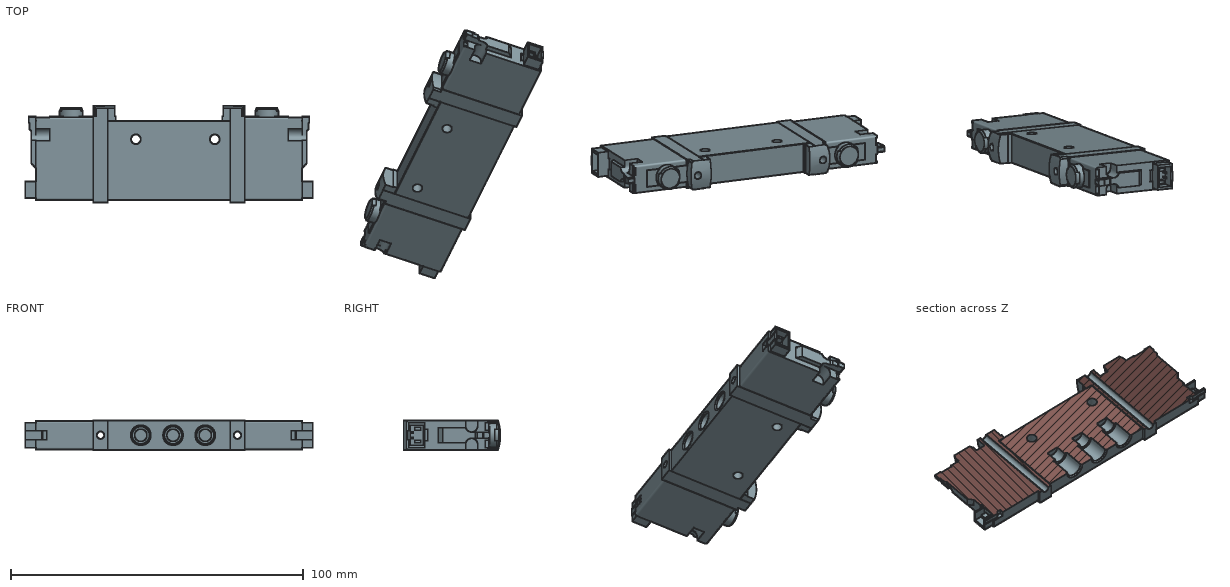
import cadquery as cq

LENGTH = 98.3
DEPTH = 33.1
HEIGHT = 10.2
EPS = 0.1

HALF_LENGTH = LENGTH / 2
FRONT_Y = -DEPTH / 2
BACK_Y = DEPTH / 2
HALF_HEIGHT = HEIGHT / 2

VALVE_HALF_LENGTH = 20.8
VALVE_FRONT_Y = FRONT_Y + 0.9
VALVE_BACK_Y = 11.5
VALVE_BACK_CHAMFER = 0.2

PORT_CENTRE_X = 1.4
PORT_PITCH = 11.0
PORT_DIAMETER = 5.9
PORT_DEPTH = 7.9
PORT_MOUTH_CHAMFER = 0.5
PORT_BORE_DIAMETER = 4.2
PORT_BORE_DEPTH = 11.8

MOUNT_HOLE_DIAMETER = 3.2
MOUNT_HOLE_CENTRE_X = 2.2
MOUNT_HOLE_SPACING = 26.9
MOUNT_HOLE_Y = 5.1

FLANGE_OUTER_X = -26.0
FLANGE_HOLE_DIAMETER = 2.5
CROWN_SAGITTA = 0.9
LUG_LENGTH = 2.4
LUG_HALF_HEIGHT = 5.0
LUG_FOOT_LENGTH = 2.7
LUG_FOOT_BACK_Y = 13.0
BUTTON_X = -33.4
BUTTON_DIAMETER = 8.1
BUTTON_BACK_Y = 15.9
BUTTON_ROOT = 1.0
BUTTON_CHAMFER = 0.6
BUTTON_BEVEL_WIDTH = 3.9
BUTTON_BEVEL_START_Y = 14.6
LIP_FRONT_Y = 13.0
LIP_SHOULDER_X = -25.4
LIP_BEVEL = 0.6

COIL_HALF_HEIGHT = 4.9
COIL_FRONT_Y = VALVE_FRONT_Y
COIL_BACK_Y = 12.6
COIL_EDGE_RADIUS = 0.7
CAP_INNER_X = -40.8
CAP_OUTER_X = -45.5
PAD_BACK_Y = 13.0
PAD_HALF_HEIGHT = 2.9

PLATE_OUTER_X = -47.1
PLATE_HALF_HEIGHT = 2.6
PLATE_FRONT_Y = -4.7
PLATE_BEVEL = CAP_OUTER_X - PLATE_OUTER_X
LEVER_HALF_HEIGHT = 1.1
LEVER_BACK_Y = 13.0
LEVER_BACK_CHAMFER = 0.4
LEVER_TIP_X = -48.0
LEVER_TIP_FRONT_Y = 10.8
LEVER_STEM_X = -47.7
LEVER_STEM_BACK_Y = 10.5
LEVER_STEM_FRONT_Y = 8.6
LEVER_ROOT_Y = 7.9

GROOVE_Y = 6.7
GROOVE_DIAMETER = 4.1

NOTCH_FRONT_Y = 11.4
NOTCH_INNER_Z = 1.7
NOTCH_OUTER_Z = 4.2
NOTCH_DEPTH = 0.6

CONNECTOR_FRONT_Y = -14.8
CONNECTOR_BACK_Y = -9.2
CONNECTOR_HALF_HEIGHT = 4.3
CONNECTOR_WALL_Y = 0.6
CONNECTOR_WALL_Z = 0.9
SOCKET_FLOOR_X = -45.2
RELIEF_BACK_Y = -8.3
RELIEF_HALF_HEIGHT = 2.0
RELIEF_DEPTH = 0.5

LATCH_HALF_HEIGHT = 1.6
LATCH_FRONT_Y = -15.0
LATCH_END_X = -43.5
LATCH_NOSE = 0.5
LATCH_SLOT_END_X = -41.8
LATCH_SLOT_FLOOR_Y = -14.3

CONTACT_Y = -11.7
CONTACT_Z = 2.2
CONTACT_WIDTH = 2.1
CONTACT_THICKNESS = 1.0
PIN_Y = -13.6
PIN_Z = 0.9
PIN_SIZE = 0.5
CONTACT_OUTER_X = -47.2


def block(x_min, x_max, y_min, y_max, z_min, z_max):
    """Axis-aligned box between two opposite corners."""
    box = cq.Workplane().box(x_max - x_min, y_max - y_min, z_max - z_min, centered=False)
    return box.translate((x_min, y_min, z_min))


def slab(x_min, x_max, y_min, y_max, half_height):
    """Box that is symmetric about the Z = 0 plane."""
    return block(x_min, x_max, y_min, y_max, -half_height, half_height)


def y_cylinder(x, y_start, diameter, length):
    """Cylinder at Z = 0 that runs from y_start toward +Y."""
    plane = cq.Workplane("XZ", origin=(x, y_start, 0))
    return plane.circle(diameter / 2).extrude(-length)


def y_cone(x, y_start, start_diameter, end_diameter, length):
    """Truncated cone at Z = 0 that runs from y_start toward +Y."""
    base = cq.Workplane("XZ", origin=(x, y_start, 0)).circle(start_diameter / 2)
    return base.workplane(offset=-length).circle(end_diameter / 2).loft()


def crowned_bar(x_min, x_max, y_min):
    """Full-height bar along Y with a shallow arc as its back end."""
    profile = (
        cq.Workplane("YZ", origin=(x_min, 0, 0))
        .moveTo(y_min, -HALF_HEIGHT)
        .lineTo(BACK_Y - CROWN_SAGITTA, -HALF_HEIGHT)
        .threePointArc((BACK_Y, 0), (BACK_Y - CROWN_SAGITTA, HALF_HEIGHT))
        .lineTo(y_min, HALF_HEIGHT)
        .close()
    )
    return profile.extrude(x_max - x_min)


def port(x):
    """Stepped port with a chamfered mouth, opening on the front face."""
    bore = y_cylinder(x, VALVE_FRONT_Y, PORT_BORE_DIAMETER, PORT_BORE_DEPTH)
    socket = y_cylinder(x, VALVE_FRONT_Y, PORT_DIAMETER, PORT_DEPTH)
    mouth_diameter = PORT_DIAMETER + 2 * PORT_MOUTH_CHAMFER
    mouth = y_cone(x, VALVE_FRONT_Y, mouth_diameter, PORT_DIAMETER, PORT_MOUTH_CHAMFER)
    return bore.union(socket).union(mouth)


def make_valve_body():
    body = slab(-VALVE_HALF_LENGTH, VALVE_HALF_LENGTH, VALVE_FRONT_Y, VALVE_BACK_Y, HALF_HEIGHT)
    body = body.faces(">Y").edges("|X").chamfer(VALVE_BACK_CHAMFER)
    for index in (-1, 0, 1):
        body = body.cut(port(PORT_CENTRE_X + index * PORT_PITCH))
    for side in (-1, 1):
        hole_x = MOUNT_HOLE_CENTRE_X + side * MOUNT_HOLE_SPACING / 2
        hole = cq.Workplane(origin=(hole_x, MOUNT_HOLE_Y, 0)).circle(MOUNT_HOLE_DIAMETER / 2)
        body = body.cut(hole.extrude(HEIGHT, both=True))
    return body


def lip_relief():
    """Cutter that leaves a rounded, bevelled lip on the outer side of the flange."""
    shoulder_z = HALF_HEIGHT - LIP_BEVEL
    bevel_x = LIP_SHOULDER_X + LIP_BEVEL
    kept = (
        cq.Workplane("XZ", origin=(0, LIP_FRONT_Y, 0))
        .moveTo(bevel_x, -HALF_HEIGHT)
        .lineTo(LIP_SHOULDER_X, -shoulder_z)
        .threePointArc((FLANGE_OUTER_X, 0), (LIP_SHOULDER_X, shoulder_z))
        .lineTo(bevel_x, HALF_HEIGHT)
        .close()
        .extrude(LIP_FRONT_Y - BACK_Y)
    )
    return slab(FLANGE_OUTER_X, bevel_x, LIP_FRONT_Y, BACK_Y, HALF_HEIGHT).cut(kept)


def flange():
    """End flange with a shaped lip and a through hole."""
    bar = crowned_bar(FLANGE_OUTER_X, -VALVE_HALF_LENGTH, FRONT_Y)
    hole_x = (FLANGE_OUTER_X - VALVE_HALF_LENGTH) / 2
    hole = y_cylinder(hole_x, FRONT_Y - EPS, FLANGE_HOLE_DIAMETER, DEPTH + 2 * EPS)
    return bar.cut(lip_relief()).cut(hole)


def lug():
    """Lug on the flange that rests on the back of the valve body, with a wider foot."""
    start_x = -VALVE_HALF_LENGTH
    tab = crowned_bar(start_x, start_x + LUG_LENGTH, VALVE_BACK_Y)
    envelope = slab(start_x, start_x + LUG_LENGTH, VALVE_BACK_Y, BACK_Y, LUG_HALF_HEIGHT)
    foot = slab(start_x, start_x + LUG_FOOT_LENGTH, VALVE_BACK_Y, LUG_FOOT_BACK_Y, LUG_HALF_HEIGHT)
    return tab.intersect(envelope).union(foot)


def rounded_housing(x_min, x_max):
    """Length of housing with its four long edges rounded."""
    housing = slab(x_min, x_max, COIL_FRONT_Y, COIL_BACK_Y, COIL_HALF_HEIGHT)
    return housing.edges("|X").fillet(COIL_EDGE_RADIUS)


def button():
    """Round manual button, chamfered all round and bevelled further down on its X sides."""
    knob_start = COIL_BACK_Y - BUTTON_ROOT
    knob = y_cylinder(BUTTON_X, knob_start, BUTTON_DIAMETER, BUTTON_BACK_Y - knob_start)
    knob = knob.faces(">Y").chamfer(BUTTON_CHAMFER)
    cone = y_cone(
        BUTTON_X,
        BUTTON_BEVEL_START_Y,
        BUTTON_DIAMETER,
        BUTTON_DIAMETER - 2 * BUTTON_CHAMFER,
        BUTTON_BACK_Y - BUTTON_BEVEL_START_Y,
    )
    bevel = slab(
        BUTTON_X - BUTTON_DIAMETER,
        BUTTON_X + BUTTON_DIAMETER,
        BUTTON_BEVEL_START_Y,
        BUTTON_BACK_Y,
        BUTTON_BEVEL_WIDTH / 2,
    )
    return knob.cut(bevel.cut(cone))


def cover_plate():
    """Bevelled plate that narrows into the latch lever toward the back."""
    outline = [
        (CAP_OUTER_X, LEVER_BACK_Y),
        (LEVER_TIP_X, LEVER_BACK_Y),
        (LEVER_TIP_X, LEVER_TIP_FRONT_Y),
        (LEVER_STEM_X, LEVER_STEM_BACK_Y),
        (LEVER_STEM_X, LEVER_STEM_FRONT_Y),
        (PLATE_OUTER_X, LEVER_ROOT_Y),
        (PLATE_OUTER_X, PLATE_FRONT_Y + PLATE_BEVEL),
        (CAP_OUTER_X, PLATE_FRONT_Y),
    ]
    plate = cq.Workplane().polyline(outline).close().extrude(PLATE_HALF_HEIGHT, both=True)
    lever_side = block(LEVER_TIP_X, CAP_OUTER_X, GROOVE_Y, BACK_Y, LEVER_HALF_HEIGHT, HALF_HEIGHT)
    plate = plate.cut(lever_side).cut(lever_side.mirror("XY"))
    return plate.faces(">Y").edges("|X").chamfer(LEVER_BACK_CHAMFER)


def cap_groove():
    """Round-bottomed groove cutter in the top of the cap and cover plate."""
    radius = GROOVE_DIAMETER / 2
    centre_z = LEVER_HALF_HEIGHT + radius
    profile = (
        cq.Workplane("YZ", origin=(LEVER_TIP_X, 0, 0))
        .moveTo(GROOVE_Y - radius, HALF_HEIGHT)
        .lineTo(GROOVE_Y - radius, centre_z)
        .threePointArc((GROOVE_Y, LEVER_HALF_HEIGHT), (GROOVE_Y + radius, centre_z))
        .lineTo(GROOVE_Y + radius, HALF_HEIGHT)
        .close()
    )
    return profile.extrude(CAP_INNER_X - LEVER_TIP_X)


def cap():
    """End cap with its cover plate, grooves, corner notches and reliefs."""
    end = rounded_housing(CAP_OUTER_X, CAP_INNER_X).union(cover_plate())
    groove = cap_groove()
    notch = block(
        CAP_OUTER_X, CAP_OUTER_X + NOTCH_DEPTH, NOTCH_FRONT_Y, BACK_Y, NOTCH_INNER_Z, NOTCH_OUTER_Z
    )
    for cutter in (groove, notch):
        end = end.cut(cutter).cut(cutter.mirror("XY"))
    relief = slab(
        CAP_OUTER_X, CAP_OUTER_X + RELIEF_DEPTH, CONNECTOR_BACK_Y, RELIEF_BACK_Y, RELIEF_HALF_HEIGHT
    )
    latch_slot = slab(
        CAP_OUTER_X, LATCH_SLOT_END_X, COIL_FRONT_Y - EPS, LATCH_SLOT_FLOOR_Y, LATCH_HALF_HEIGHT
    )
    return end.cut(relief).cut(latch_slot)


def connector():
    """Connector block with a latch on its front, before the socket is cut."""
    shell = slab(-HALF_LENGTH, CAP_OUTER_X, CONNECTOR_FRONT_Y, CONNECTOR_BACK_Y, CONNECTOR_HALF_HEIGHT)
    latch_outline = [
        (-HALF_LENGTH, CONNECTOR_FRONT_Y + CONNECTOR_WALL_Y),
        (-HALF_LENGTH, LATCH_FRONT_Y),
        (LATCH_END_X, LATCH_FRONT_Y),
        (LATCH_END_X + LATCH_NOSE, LATCH_SLOT_FLOOR_Y),
        (CAP_OUTER_X, LATCH_SLOT_FLOOR_Y),
    ]
    latch = cq.Workplane().polyline(latch_outline).close().extrude(LATCH_HALF_HEIGHT, both=True)
    return shell.union(latch)


def socket():
    """Cavity of the connector."""
    return slab(
        -HALF_LENGTH,
        SOCKET_FLOOR_X,
        CONNECTOR_FRONT_Y + CONNECTOR_WALL_Y,
        CONNECTOR_BACK_Y - CONNECTOR_WALL_Y,
        CONNECTOR_HALF_HEIGHT - CONNECTOR_WALL_Z,
    )


def post(y, z, width, thickness):
    """Rectangular contact that stands on the floor of the socket."""
    length = SOCKET_FLOOR_X - CONTACT_OUTER_X + EPS
    base = cq.Workplane("YZ", origin=(CONTACT_OUTER_X, y, z))
    return base.rect(width, thickness).extrude(length)


def make_pilot():
    """Pilot unit for the -X end."""
    coil = rounded_housing(CAP_INNER_X, FLANGE_OUTER_X)
    pad = slab(CAP_INNER_X, FLANGE_OUTER_X, COIL_BACK_Y - EPS, PAD_BACK_Y, PAD_HALF_HEIGHT)
    unit = flange().union(lug()).union(coil.union(pad)).union(button())
    unit = unit.union(cap(), clean=False)
    unit = unit.union(connector(), clean=False).cut(socket(), clean=False)
    for side in (-1, 1):
        unit = unit.union(post(CONTACT_Y, side * CONTACT_Z, CONTACT_WIDTH, CONTACT_THICKNESS), clean=False)
        unit = unit.union(post(PIN_Y, side * PIN_Z, PIN_SIZE, PIN_SIZE), clean=False)
    return unit


valve_body = make_valve_body()

pilots = []
for end in (-1, 1):
    pilot = make_pilot()
    if end > 0:
        pilot = pilot.mirror("YZ")
    pilots.append(pilot.solids().val())

result = cq.Compound.makeCompound([valve_body.solids().val(), *pilots])